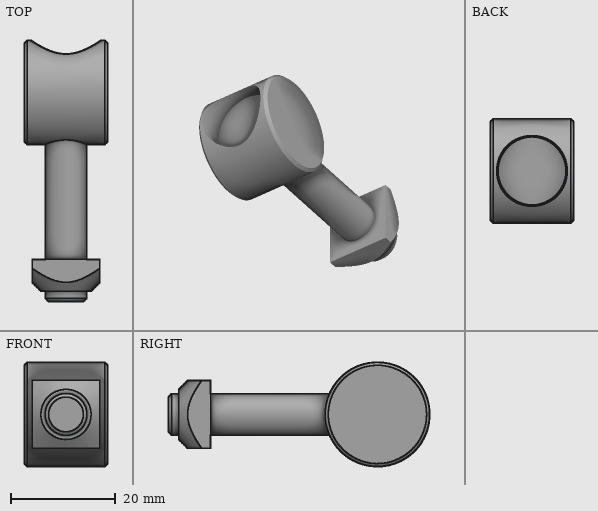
import cadquery as cq


knob_diameter = 20.0
knob_length = 16.0
knob_chamfer = 0.6
counterbore_diameter = 13.5
clearance_diameter = 8.4
seat_y = 0.0

shank_diameter = 8.0
tip_diameter = 6.65
tip_chamfer = (shank_diameter - tip_diameter) / 2
shank_length = 40.0
tip_y = seat_y - shank_length
head_diameter = 13.0
head_height = 5.0

nut_width = 13.0
nut_height = 6.1
nut_face_diameter = 9.6
screw_projection = 2.0
nut_front_y = tip_y + screw_projection
nut_back_y = nut_front_y + nut_height


def rod_along_y(diameter, start_y, end_y):
    """Round rod on the Y axis from start_y up to end_y."""
    plane = cq.Plane(origin=(0, start_y, 0), xDir=(1, 0, 0), normal=(0, 1, 0))
    return cq.Workplane(plane).circle(diameter / 2).extrude(end_y - start_y)


def make_knob():
    """Chamfered cross cylinder with a counterbored clearance hole."""
    radius = knob_diameter / 2
    body = (
        cq.Workplane("YZ")
        .circle(radius)
        .extrude(knob_length / 2, both=True)
        .faces("<X or >X")
        .chamfer(knob_chamfer)
    )
    clearance_hole = rod_along_y(clearance_diameter, -radius, radius)
    counterbore = rod_along_y(counterbore_diameter, seat_y, radius)
    return body.cut(clearance_hole).cut(counterbore)


def make_screw():
    """Screw with a plain round head and a chamfered tip."""
    shank = rod_along_y(shank_diameter, tip_y, seat_y).faces("<Y").chamfer(tip_chamfer)
    head = rod_along_y(head_diameter, seat_y, seat_y + head_height)
    return shank.union(head)


def make_nut():
    """Square nut whose front corners are turned off by a 45 degree cone."""
    block = cq.Workplane("XY").box(nut_width, nut_height, nut_width)
    block = block.translate((0, nut_front_y + nut_height / 2, 0))
    face_radius = nut_face_diameter / 2
    cone = (
        cq.Workplane("XY")
        .moveTo(0, nut_front_y)
        .lineTo(face_radius, nut_front_y)
        .lineTo(face_radius + nut_height, nut_back_y)
        .lineTo(0, nut_back_y)
        .close()
        .revolve(360, (0, 0, 0), (0, 1, 0))
    )
    bore = rod_along_y(shank_diameter, nut_front_y, nut_back_y)
    return block.intersect(cone).cut(bore)


knob = make_knob()
screw = make_screw()
nut = make_nut()

bodies = [knob, screw, nut]
result = cq.Compound.makeCompound([body.solids().val() for body in bodies])